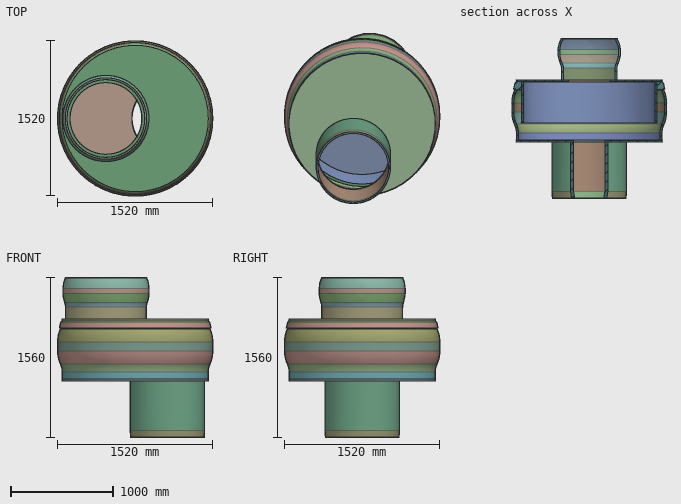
import cadquery as cq
import math

plate_diameter = 1430.0
plate_thickness = 20.0
floor_bottom = 549.0
floor_top = floor_bottom + plate_thickness
lid_top = 1158.0
lid_bottom = lid_top - plate_thickness
inlet_x = -285.0
outlet_x = 315.0
inlet_port_diameter = 700.0
outlet_port_diameter = 697.0

drum_bulge_diameter = 1520.0
drum_wall = 25.0
drum_throat_bottom = 640
drum_flare_split = 716.0
drum_bulge_bottom = 842
drum_bulge_top = 933.0
drum_mouth = 1060.0

socket_neck_diameter = 792.0
socket_bore_diameter = 760.0
socket_bulge_diameter = 842
socket_wall = (socket_neck_diameter - socket_bore_diameter) / 2
socket_throat_bottom = 1271.0
socket_flare_split = 1318.0
socket_bulge_bottom = 1407.0
socket_bulge_top = 1454.0
socket_mouth = 1560

outlet_diameter = 730.0
outlet_tip_diameter = 720.0
outlet_taper_height = 67.0
outlet_wall = (outlet_diameter - outlet_port_diameter) / 2

skirt_outer_diameter = 1330.0
skirt_inner_diameter = 1280.0
skirt_bottom = 735.0

collar_shoulder_diameter = 1460.0
collar_rim_diameter = 1485.0
collar_foot_diameter = 1450.0
collar_shoulder_z = 1120.0
collar_rim_z = 1067.0
collar_bulge = 2.0


def disc_with_port(bottom, port_x, port_diameter):
    disc = cq.Workplane("XY").workplane(offset=bottom).circle(plate_diameter / 2).extrude(plate_thickness)
    port = (
        cq.Workplane("XY").workplane(offset=bottom).center(port_x, 0)
        .circle(port_diameter / 2).extrude(plate_thickness)
    )
    return disc.cut(port)


def revolve_about_z(profile):
    return profile.close().revolve(360, (0, 0, 0), (0, 1, 0))


def arc_point(center, radius, angle):
    """Point on an arc; the angle is measured from the radial direction."""
    return (center[0] + radius * math.cos(angle), center[1] + radius * math.sin(angle))


def belled_pipe(neck_diameter, bulge_diameter, wall, bottom, throat_bottom, flare_split,
                bulge_bottom, bulge_top, mouth):
    """Constant-wall pipe with an S-shaped flare, a straight bulge and a curved-in mouth."""
    neck = neck_diameter / 2
    bulge = bulge_diameter / 2
    flare_height = bulge_bottom - throat_bottom
    flare_step = bulge - neck

    radius_sum = (flare_height ** 2 + flare_step ** 2) / (2 * flare_step)
    bulge_radius = radius_sum * (bulge_bottom - flare_split) / flare_height
    throat_radius = radius_sum - bulge_radius
    flare_angle = math.asin(flare_height / radius_sum)
    throat_center = (neck + throat_radius, throat_bottom)
    lower_center = (bulge - bulge_radius, bulge_bottom)
    upper_center = (bulge - bulge_radius, bulge_top)

    outer_mouth_angle = math.asin((mouth - bulge_top) / bulge_radius)
    inner_radius = bulge_radius - wall
    inner_throat_radius = throat_radius + wall
    inner_mouth_angle = math.asin((mouth - bulge_top) / inner_radius)

    profile = (
        cq.Workplane("XZ")
        .moveTo(neck, bottom)
        .lineTo(neck, throat_bottom)
        .threePointArc(arc_point(throat_center, throat_radius, math.pi - flare_angle / 2),
                       arc_point(throat_center, throat_radius, math.pi - flare_angle))
        .threePointArc(arc_point(lower_center, bulge_radius, -flare_angle / 2), (bulge, bulge_bottom))
        .lineTo(bulge, bulge_top)
        .threePointArc(arc_point(upper_center, bulge_radius, outer_mouth_angle / 2),
                       arc_point(upper_center, bulge_radius, outer_mouth_angle))
        .lineTo(*arc_point(upper_center, inner_radius, inner_mouth_angle))
        .threePointArc(arc_point(upper_center, inner_radius, inner_mouth_angle / 2),
                       (bulge - wall, bulge_top))
        .lineTo(bulge - wall, bulge_bottom)
        .threePointArc(arc_point(lower_center, inner_radius, -flare_angle / 2),
                       arc_point(lower_center, inner_radius, -flare_angle))
        .threePointArc(arc_point(throat_center, inner_throat_radius, math.pi - flare_angle / 2),
                       (neck - wall, throat_bottom))
        .lineTo(neck - wall, bottom)
    )
    return revolve_about_z(profile)


def make_outlet_spigot():
    outer = outlet_diameter / 2
    tip = outlet_tip_diameter / 2
    profile = cq.Workplane("XZ").polyline([
        (outer, floor_bottom),
        (outer, outlet_taper_height),
        (tip, 0),
        (tip - outlet_wall, 0),
        (outer - outlet_wall, outlet_taper_height),
        (outer - outlet_wall, floor_bottom),
    ])
    return revolve_about_z(profile).translate((outlet_x, 0, 0))


def make_lid_skirt():
    return (
        cq.Workplane("XY").workplane(offset=skirt_bottom)
        .circle(skirt_outer_diameter / 2).circle(skirt_inner_diameter / 2)
        .extrude(lid_bottom - skirt_bottom)
    )


def make_collar():
    inner = skirt_outer_diameter / 2
    top = plate_diameter / 2
    shoulder = collar_shoulder_diameter / 2
    foot = collar_foot_diameter / 2
    shoulder_middle = (
        (top + shoulder) / 2 + collar_bulge,
        (lid_bottom + collar_shoulder_z) / 2 + collar_bulge,
    )
    profile = (
        cq.Workplane("XZ")
        .moveTo(inner, lid_bottom)
        .lineTo(top, lid_bottom)
        .threePointArc(shoulder_middle, (shoulder, collar_shoulder_z))
        .lineTo(collar_rim_diameter / 2, collar_rim_z)
        .lineTo(foot, collar_rim_z)
        .lineTo(foot, drum_mouth)
        .lineTo(inner, drum_mouth)
    )
    return revolve_about_z(profile)


floor = disc_with_port(floor_bottom, outlet_x, outlet_port_diameter)
lid = disc_with_port(lid_bottom, inlet_x, inlet_port_diameter)
drum = belled_pipe(
    plate_diameter, drum_bulge_diameter, drum_wall, floor_top, drum_throat_bottom,
    drum_flare_split, drum_bulge_bottom, drum_bulge_top, drum_mouth,
)
inlet_socket = belled_pipe(
    socket_neck_diameter, socket_bulge_diameter, socket_wall, lid_top, socket_throat_bottom,
    socket_flare_split, socket_bulge_bottom, socket_bulge_top, socket_mouth,
).translate((inlet_x, 0, 0))
outlet_spigot = make_outlet_spigot()
lid_skirt = make_lid_skirt()
collar = make_collar()

result = cq.Compound.makeCompound([
    floor.val(),
    lid.val(),
    drum.val(),
    inlet_socket.val(),
    outlet_spigot.val(),
    lid_skirt.val(),
    collar.val(),
])